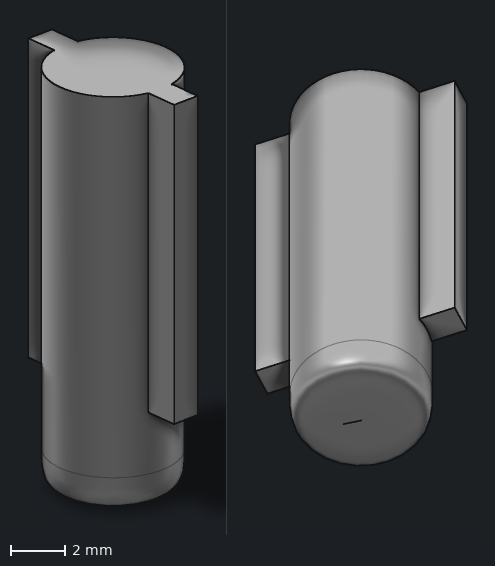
import cadquery as cq

pin_length = 17.0
pin_radius = 2.65
tip_height = 1.5

fin_span = 8.0
fin_thickness = 1.19
fin_bottom = 4.0
fin_length = pin_length - fin_bottom

wall_end = (pin_radius, tip_height)
tip_corner = (pin_radius, 0)
tip_center = (0, 0)
pin = (
    cq.Workplane("XZ")
    .moveTo(0, pin_length)
    .lineTo(pin_radius, pin_length)
    .lineTo(*wall_end)
    .bezier([wall_end, tip_corner, tip_corner, tip_center])
    .close()
    .revolve(360, (0, 0), (0, 1))
)

fins = (
    cq.Workplane("XY")
    .workplane(offset=fin_bottom)
    .rect(fin_span, fin_thickness)
    .extrude(fin_length)
)

result = pin.union(fins)